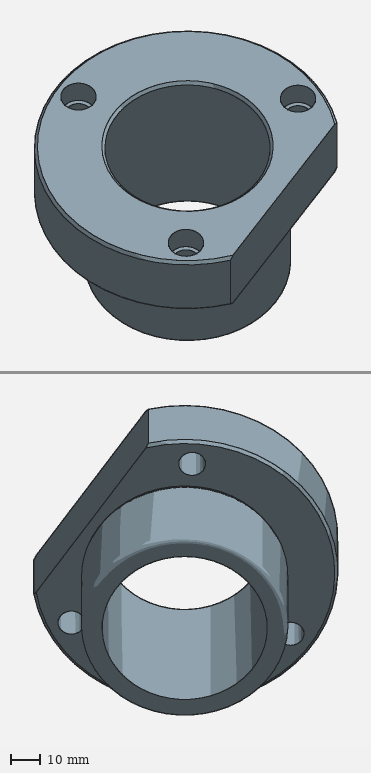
import cadquery as cq

flange_radius = 103.9 / 2
flange_thickness = 25.0
flange_chamfer = 1.0
flat_distance = 38.0

total_height = 62.0
spigot_radius = 70.0 / 2
spigot_end_fillet = 2.0
groove_depth = 0.7
groove_height = 2.0
groove_cone_height = 0.8

bore_radius = 56.0 / 2
bore_chamfer = 1.0

hole_count = 3
bolt_circle_radius = 43.0
hole_diameter = 9.0
counterbore_diameter = 12.0
counterbore_depth = 9.0

flange_bottom = total_height - flange_thickness
groove_bottom = flange_bottom - groove_height
neck_bottom = groove_bottom + groove_cone_height
neck_radius = spigot_radius - groove_depth


def make_flange():
    """Disc with both rims chamfered."""
    return (
        cq.Workplane("XY", origin=(0, 0, flange_bottom))
        .circle(flange_radius)
        .extrude(flange_thickness)
        .edges("<Z or >Z")
        .chamfer(flange_chamfer)
    )


def make_spigot():
    """Turned spigot: rounded lower rim, straight side, cone, then the narrower neck."""
    profile = (
        cq.Workplane("XZ")
        .lineTo(spigot_radius, 0)
        .lineTo(spigot_radius, groove_bottom)
        .lineTo(neck_radius, neck_bottom)
        .lineTo(neck_radius, flange_bottom)
        .lineTo(0, flange_bottom)
        .close()
    )
    return profile.revolve(360, (0, 0), (0, 1)).edges("<Z").fillet(spigot_end_fillet)


def cut_flat(body):
    """Remove the +X side of the flange to leave an unchamfered flat."""
    waste = cq.Workplane("XY", origin=(flat_distance, 0, flange_bottom)).box(
        flange_radius, 2 * flange_radius, flange_thickness, centered=(False, True, False)
    )
    return body.cut(waste)


def cut_bore(body):
    """Through bore with a chamfered mouth in the flange face."""
    bore = cq.Workplane("XY").circle(bore_radius).extrude(total_height)
    mouth = (
        cq.Workplane("XY", origin=(0, 0, total_height))
        .circle(bore_radius + bore_chamfer)
        .workplane(offset=-bore_chamfer)
        .circle(bore_radius)
        .loft()
    )
    return body.cut(bore).cut(mouth)


def cut_screw_holes(body):
    """Evenly spaced counterbored holes, the first one opposite the flat."""
    return (
        body.faces(">Z")
        .workplane(origin=(0, 0, total_height))
        .polarArray(bolt_circle_radius, 180, 360, hole_count)
        .cboreHole(hole_diameter, counterbore_diameter, counterbore_depth)
    )


flanged_spigot = make_flange().union(make_spigot())
result = cut_screw_holes(cut_bore(cut_flat(flanged_spigot)))